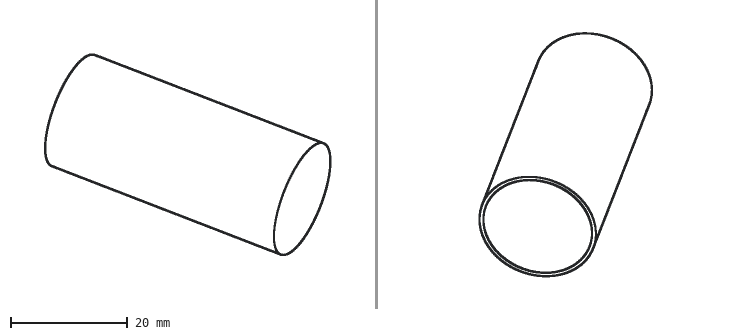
import cadquery as cq

body_diameter = 20.4
body_length = 44.45
tilt_angle = 12.5
recess_diameter = 19.05
recess_depth = 0.1


def cylinder_along_x(diameter, length):
    """Solid cylinder on the X axis, running from the -X end of the body toward +X."""
    end_plane = cq.Workplane("YZ", origin=(-body_length / 2, 0, 0))
    return end_plane.circle(diameter / 2).extrude(length)


body = cylinder_along_x(body_diameter, body_length)

end_recess = cylinder_along_x(recess_diameter, recess_depth)

result = body.cut(end_recess).rotate((0, 0, 0), (0, 1, 0), tilt_angle)